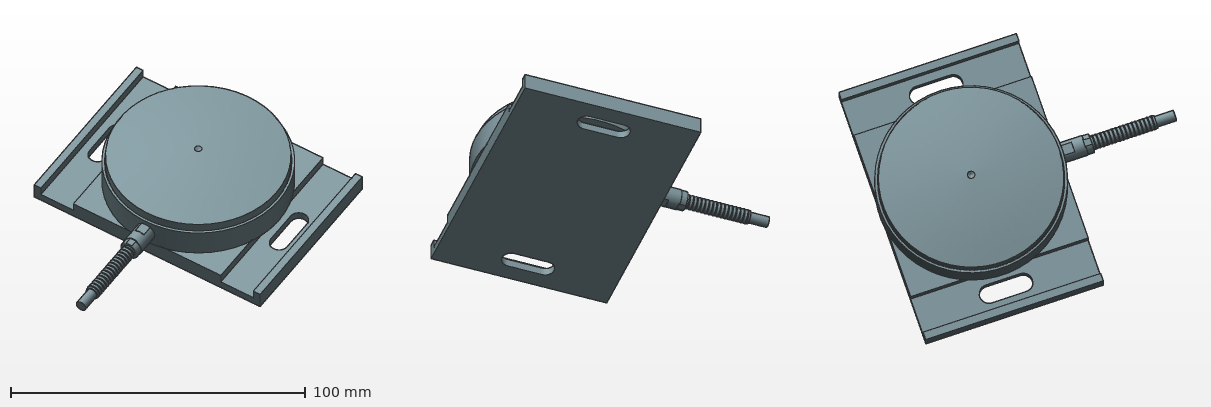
import cadquery as cq
import math

base_length = 91.4
base_width = 63.7
base_height = 6.2
floor_thickness = 3.0
rail_width = 2.8
pad_length = 59.7
slot_width = 6.6
slot_length = 18.8
slot_spacing = 73.5

housing_diameter = 65.5
housing_height = 10.2
cap_diameter = 63.0
cap_wall_height = 3.0
cap_groove_width = 0.3
cap_groove_depth = 1.1
overall_height = 22.6
dimple_diameter = 2.5
dimple_depth = 1.1

housing_top = base_height + housing_height
cap_shoulder = housing_top + cap_wall_height

cable_height = 11.2
seat_depth = 2.1
sleeve_diameter = 7.1
sleeve_reach = 8.0
sleeve_flat_reach = 3.8
sleeve_flat_offset = 3.1
collar_diameter = 6.8
collar_reach = 10.4
collar_fillet = 0.2
collar_flat_start = 7.7
collar_flat_offset = 3.2
bellows_diameter = 5.0
bellows_reach = 33.4
slit_count = 16
slit_span = 21.2
slit_width = 0.3
waist_depth = 0.16
cable_diameter = 3.8
cable_reach = 40.3

wall_y = -housing_diameter / 2
seat_y = wall_y + seat_depth
slit_pitch = slit_span / (slit_count - 1)


def rod(diameter, start_y, end_y):
    """Round bar along -Y on the cable axis."""
    return cq.Workplane("XZ", origin=(0, start_y, cable_height)).circle(diameter / 2).extrude(start_y - end_y)


def make_base_plate():
    plate = cq.Workplane("XY").box(base_length, base_width, base_height, centered=(True, True, False))
    channel_length = (base_length - pad_length) / 2 - rail_width
    channel_center = (pad_length + channel_length) / 2
    channels = (
        cq.Workplane("XY", origin=(0, 0, floor_thickness))
        .pushPoints([(-channel_center, 0), (channel_center, 0)])
        .rect(channel_length, base_width)
        .extrude(base_height - floor_thickness)
    )
    slots = (
        cq.Workplane("XY")
        .pushPoints([(-slot_spacing / 2, 0), (slot_spacing / 2, 0)])
        .slot2D(slot_length, slot_width, 90)
        .extrude(floor_thickness)
    )
    return plate.cut(channels).cut(slots)


def make_sensor():
    cap_radius = cap_diameter / 2
    dome_rise = overall_height - cap_shoulder
    dome_radius = (cap_radius**2 + dome_rise**2) / (2 * dome_rise)
    mid_radius = cap_radius / 2
    mid_height = overall_height - dome_radius + math.sqrt(dome_radius**2 - mid_radius**2)
    sensor = (
        cq.Workplane("XZ")
        .moveTo(0, base_height)
        .lineTo(housing_diameter / 2, base_height)
        .lineTo(housing_diameter / 2, housing_top)
        .lineTo(cap_radius, housing_top)
        .lineTo(cap_radius, cap_shoulder)
        .threePointArc((mid_radius, mid_height), (0, overall_height))
        .close()
        .revolve(360, (0, 0), (0, 1))
    )
    dimple = cq.Workplane(
        cq.Solid.makeCone(0, dimple_diameter / 2, dimple_depth, cq.Vector(0, 0, overall_height - dimple_depth))
    )
    cap_groove = (
        cq.Workplane("XY", origin=(0, 0, housing_top - cap_groove_depth))
        .circle(cap_radius + cap_groove_width)
        .circle(cap_radius)
        .extrude(cap_groove_depth)
    )
    return sensor.cut(cap_groove).cut(dimple).cut(rod(sleeve_diameter, seat_y, wall_y))


def flat_cutter(offset, start_y, end_y):
    """Two blocks that leave parallel flats above and below the cable axis."""
    block_center = offset + sleeve_diameter / 2
    return (
        cq.Workplane("XZ", origin=(0, start_y, cable_height))
        .pushPoints([(0, -block_center), (0, block_center)])
        .rect(sleeve_diameter, sleeve_diameter)
        .extrude(start_y - end_y)
    )


def make_bellows(start_y, end_y):
    """Round sleeve cut by slits down to the cable, with a shallow concave waist on both sides of each slit."""
    crest_radius = bellows_diameter / 2
    half_waist = (slit_pitch - slit_width) / 2
    first_slit = (start_y + end_y) / 2 + slit_span / 2
    bellows = rod(bellows_diameter, start_y, end_y)
    for i in range(slit_count + 1):
        waist_y = first_slit - (i - 0.5) * slit_pitch
        waist = (
            cq.Workplane("XY", origin=(0, waist_y, cable_height))
            .moveTo(crest_radius, half_waist)
            .threePointArc((crest_radius - waist_depth, 0), (crest_radius, -half_waist))
            .close()
            .revolve(360, (0, 0), (0, 1))
        )
        bellows = bellows.cut(waist)
    for i in range(slit_count):
        slit_start = first_slit - i * slit_pitch + slit_width / 2
        slit = rod(sleeve_diameter, slit_start, slit_start - slit_width)
        core = rod(cable_diameter, slit_start, slit_start - slit_width)
        bellows = bellows.cut(slit.cut(core))
    return bellows


def make_cable():
    sleeve_end = wall_y - sleeve_reach
    collar_end = wall_y - collar_reach
    bellows_end = wall_y - bellows_reach
    sleeve = rod(sleeve_diameter, seat_y, sleeve_end)
    collar = rod(collar_diameter, sleeve_end, collar_end).faces("<Y").edges().fillet(collar_fillet)
    gland = (
        sleeve.union(collar)
        .cut(flat_cutter(sleeve_flat_offset, seat_y, wall_y - sleeve_flat_reach))
        .cut(flat_cutter(collar_flat_offset, wall_y - collar_flat_start, collar_end))
    )
    bellows = make_bellows(collar_end, bellows_end)
    tail = rod(cable_diameter, bellows_end, wall_y - cable_reach)
    return gland.union(bellows).union(tail)


base_plate = make_base_plate()
sensor = make_sensor()
cable = make_cable()
result = cq.Compound.makeCompound(
    [base_plate.solids().val(), sensor.solids().val(), cable.solids().val()]
)